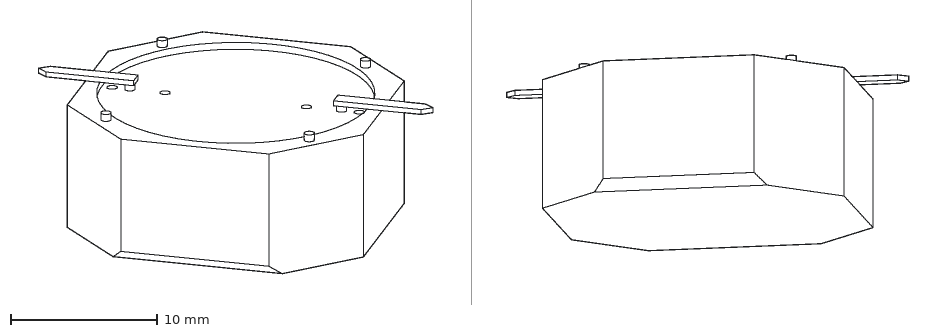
import cadquery as cq

WIDTH = 21.0
HOUSING_HEIGHT = 9.0
CORNER_CUT = WIDTH / 4
BASE_CHAMFER = 0.75

RECESS_DIAMETER = 19.0
RECESS_DEPTH = 0.5
FLOOR_Z = HOUSING_HEIGHT - RECESS_DEPTH

PIN_DIAMETER = 0.7
PEG_HEIGHT = 0.5
PEG_SPACING = 14.42
INNER_HOLE_X = 5.0
OUTER_HOLE_X = 8.75
HOLE_DEPTH = 1.4

LEAD_SPAN = 28.0
LEAD_LENGTH = 6.92
LEAD_WIDTH = 1.12
LEAD_THICKNESS = 0.35
LEAD_POINT = 0.7
LEAD_TIP_X = LEAD_SPAN / 2
LEAD_INNER_X = LEAD_TIP_X - LEAD_LENGTH
POST_X = 7.5

SIDES = (-1, 1)


def make_block():
    """Octagonal block with the bottom edges of its two Y faces chamfered."""
    block = cq.Workplane("XY").rect(WIDTH, WIDTH).extrude(HOUSING_HEIGHT)
    block = block.faces("<Y or >Y").edges("<Z").chamfer(BASE_CHAMFER)
    octagon = (
        cq.Workplane("XY")
        .rect(WIDTH, WIDTH)
        .extrude(HOUSING_HEIGHT)
        .edges("|Z")
        .chamfer(CORNER_CUT)
    )
    return block.intersect(octagon)


def make_recess():
    """Shallow round volume removed from the top of the block."""
    return (
        cq.Workplane("XY")
        .workplane(offset=FLOOR_Z)
        .circle(RECESS_DIAMETER / 2)
        .extrude(RECESS_DEPTH)
    )


def make_holes():
    """Four blind holes going down from the recess floor along the X axis."""
    hole_centers = [(side * x, 0) for side in SIDES for x in (INNER_HOLE_X, OUTER_HOLE_X)]
    return (
        cq.Workplane("XY")
        .workplane(offset=FLOOR_Z)
        .pushPoints(hole_centers)
        .circle(PIN_DIAMETER / 2)
        .extrude(-HOLE_DEPTH)
    )


def make_pegs():
    """Four short pegs standing on the corners of the rim."""
    return (
        cq.Workplane("XY")
        .workplane(offset=HOUSING_HEIGHT)
        .rect(PEG_SPACING, PEG_SPACING, forConstruction=True)
        .vertices()
        .circle(PIN_DIAMETER / 2)
        .extrude(PEG_HEIGHT)
    )


def make_housing():
    return make_block().cut(make_recess()).cut(make_holes()).union(make_pegs())


def make_lead(side):
    """Flat strip pointing outward along X on the given side."""
    half_width = LEAD_WIDTH / 2
    shoulder_x = LEAD_TIP_X - LEAD_POINT
    outline = [
        (side * LEAD_INNER_X, -half_width),
        (side * shoulder_x, -half_width),
        (side * LEAD_TIP_X, 0),
        (side * shoulder_x, half_width),
        (side * LEAD_INNER_X, half_width),
    ]
    return (
        cq.Workplane("XY")
        .workplane(offset=HOUSING_HEIGHT)
        .polyline(outline)
        .close()
        .extrude(LEAD_THICKNESS)
    )


def make_post(side):
    """Round post from the recess floor up to the underside of a lead."""
    return (
        cq.Workplane("XY")
        .workplane(offset=FLOOR_Z)
        .center(side * POST_X, 0)
        .circle(PIN_DIAMETER / 2)
        .extrude(RECESS_DEPTH)
    )


housing = make_housing()
leads = [make_lead(side) for side in SIDES]
posts = [make_post(side) for side in SIDES]

result = cq.Compound.makeCompound(
    [
        housing.val(),
        *[lead.val() for lead in leads],
        *[post.val() for post in posts],
    ]
)